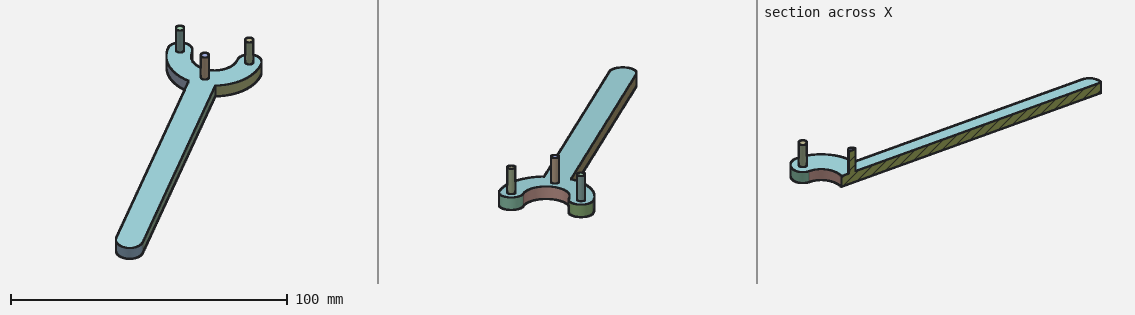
import cadquery as cq

thickness = 5.0
pitch_radius = 13.0
fork_width = 9.0
handle_width = 10.0
handle_length = 100.0
pin_diameter = 3.0
pin_height = 10.0

outer_radius = pitch_radius + fork_width / 2
inner_radius = pitch_radius - fork_width / 2
handle_start_y = -pitch_radius
handle_end_y = handle_start_y - handle_length
pin_positions = [(-pitch_radius, 0), (pitch_radius, 0), (0, -pitch_radius)]


def make_fork():
    """Half ring open toward +Y, with rounded tips."""
    return (
        cq.Workplane("XY")
        .moveTo(-outer_radius, 0)
        .threePointArc((0, -outer_radius), (outer_radius, 0))
        .threePointArc((pitch_radius, fork_width / 2), (inner_radius, 0))
        .threePointArc((0, -inner_radius), (-inner_radius, 0))
        .threePointArc((-pitch_radius, fork_width / 2), (-outer_radius, 0))
        .close()
        .extrude(thickness)
    )


def make_handle():
    """Straight bar running toward -Y from the rear pin, with a round end."""
    half_width = handle_width / 2
    return (
        cq.Workplane("XY")
        .moveTo(-half_width, handle_start_y)
        .lineTo(-half_width, handle_end_y)
        .threePointArc((0, handle_end_y - half_width), (half_width, handle_end_y))
        .lineTo(half_width, handle_start_y)
        .close()
        .extrude(thickness)
    )


def make_pins():
    """Three upright pins: one on each fork tip and one at the handle root."""
    return (
        cq.Workplane("XY")
        .pushPoints(pin_positions)
        .circle(pin_diameter / 2)
        .extrude(thickness + pin_height)
    )


result = make_fork().union(make_handle()).union(make_pins())